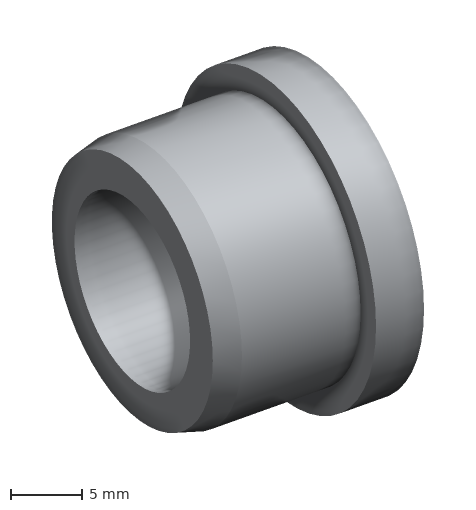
import cadquery as cq

flange_diameter = 26.0
flange_thickness = 4.0
body_diameter = 22.0
bore_diameter = 15.0
total_length = 16.0
taper_length = 2.08
taper_depth = 0.55

flange_radius = flange_diameter / 2
body_radius = body_diameter / 2
bore_radius = bore_diameter / 2
tip_radius = body_radius - taper_depth
shoulder_y = total_length - flange_thickness

half_section = (
    cq.Workplane("XY")
    .moveTo(bore_radius, 0)
    .lineTo(tip_radius, 0)
    .lineTo(body_radius, taper_length)
    .lineTo(body_radius, shoulder_y)
    .lineTo(flange_radius, shoulder_y)
    .lineTo(flange_radius, total_length)
    .lineTo(bore_radius, total_length)
    .close()
)

result = half_section.revolve(360, (0, 0, 0), (0, 1, 0))